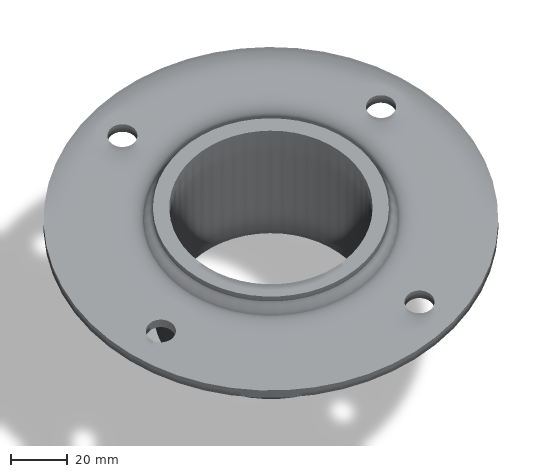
import cadquery as cq

flange_diameter = 160.0
flange_thickness = 4.0
tube_outer_diameter = 83.0
tube_bore_diameter = 71.5
tube_length = 55.0
tube_projection = 6.0
weld_leg = 3.5
bolt_circle_diameter = 130.0
bolt_hole_diameter = 10.5
bolt_hole_count = 4

flange_top = tube_length - tube_projection
flange_bottom = flange_top - flange_thickness
weld_top = flange_top + weld_leg

tube_radius = tube_outer_diameter / 2
flange_radius = flange_diameter / 2


def make_flanged_tube():
    """Revolve the tube, flange and conical weld bead around Z."""
    bore_radius = tube_bore_diameter / 2
    profile = [
        (bore_radius, 0),
        (tube_radius, 0),
        (tube_radius, flange_bottom),
        (flange_radius, flange_bottom),
        (flange_radius, flange_top),
        (tube_radius + weld_leg, flange_top),
        (tube_radius, weld_top),
        (tube_radius, tube_length),
        (bore_radius, tube_length),
    ]
    return cq.Workplane("XZ").polyline(profile).close().revolve(360, (0, 0), (0, 1))


def make_bolt_holes():
    """Cutters through the flange, evenly spaced from the +X axis."""
    return (
        cq.Workplane("XY", origin=(0, 0, flange_bottom))
        .polarArray(bolt_circle_diameter / 2, 0, 360, bolt_hole_count)
        .circle(bolt_hole_diameter / 2)
        .extrude(flange_thickness)
    )


result = make_flanged_tube().cut(make_bolt_holes())